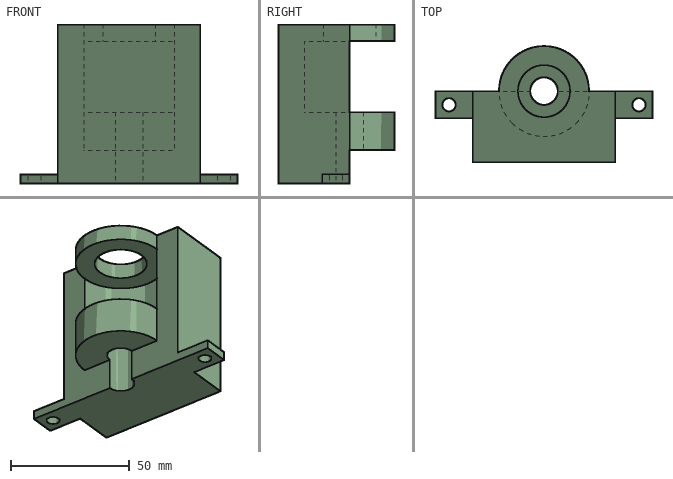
import cadquery as cq

overall_width = 91.5
block_width = 60.0
block_depth = 30.0
block_height = 67.0

lug_diameter = 38.1
upper_lug_thickness = 6.95
lower_lug_bottom = 14.1
lower_lug_thickness = 16.0
upper_bore_diameter = 22.0
lower_bore_diameter = 11.5

tab_depth = 11.5
tab_thickness = 3.9
tab_hole_diameter = 5.5

lower_lug_top = lower_lug_bottom + lower_lug_thickness
upper_lug_bottom = block_height - upper_lug_thickness


def vertical_cylinder(diameter, bottom, top):
    """Cylinder on the lug axis between two heights."""
    return cq.Workplane("XY").workplane(offset=bottom).circle(diameter / 2).extrude(top - bottom)


def rear_aligned_box(width, depth, height):
    """Box standing on Z = 0 with its rear face on Y = 0, centred in X."""
    return cq.Workplane("XY").box(width, depth, height, centered=(True, False, False)).translate((0, -depth, 0))


body = rear_aligned_box(block_width, block_depth, block_height)
body = body.union(rear_aligned_box(overall_width, tab_depth, tab_thickness))
body = body.union(vertical_cylinder(lug_diameter, upper_lug_bottom, block_height))
body = body.union(vertical_cylinder(lug_diameter, lower_lug_bottom, lower_lug_top))

body = body.cut(vertical_cylinder(lug_diameter, lower_lug_top, upper_lug_bottom))

body = body.cut(vertical_cylinder(upper_bore_diameter, upper_lug_bottom, block_height))
body = body.cut(vertical_cylinder(lower_bore_diameter, 0, lower_lug_top))

tab_hole_x = overall_width / 2 - tab_depth / 2
tab_holes = (
    cq.Workplane("XY")
    .pushPoints([(side * tab_hole_x, -tab_depth / 2) for side in (-1, 1)])
    .circle(tab_hole_diameter / 2)
    .extrude(tab_thickness)
)

result = body.cut(tab_holes)